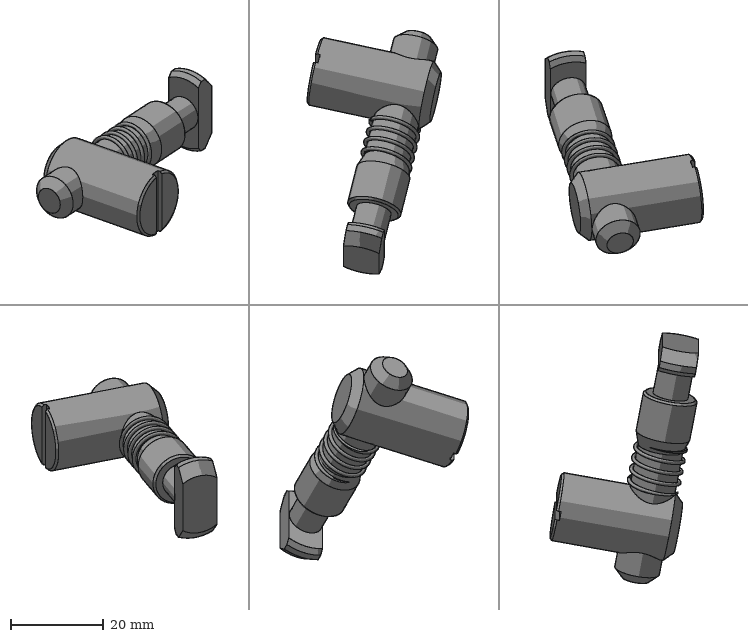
import cadquery as cq


barrel_diameter = 15.0
barrel_left = -7.0
barrel_right = 20.0
barrel_left_chamfer = 2.0
barrel_right_chamfer = 0.5
slot_width = 2.0
slot_depth = 1.0

pin_diameter = 9.9
pin_tip = -13.0
pin_tip_chamfer = 2.0
collar_diameter = 11.9
collar_cone_start = 17.0
collar_start = 20.0
collar_end = 29.0
collar_chamfer = 0.5
neck_diameter = 7.7
head_start = 36.0
head_end = pin_tip + 54.0
head_diameter = 18.95
head_width = 8.0
head_inner_chamfer = 1.0
head_outer_chamfer = 2.5

spring_start = 8.0
spring_end = 18.0
spring_coils = 4
spring_pitch = (spring_end - spring_start) / spring_coils
wire_diameter = 0.8
spring_clearance = 0.05
spring_radius = pin_diameter / 2 + spring_clearance + wire_diameter / 2
helix_shift = 0.2


def revolve_about_y(half_profile):
    return cq.Workplane("XY").polyline(half_profile).close().revolve(360, (0, 0), (0, 1))


def make_barrel():
    length = barrel_right - barrel_left
    barrel = cq.Workplane("YZ", origin=(barrel_left, 0, 0)).circle(barrel_diameter / 2).extrude(length)
    barrel = barrel.faces("<X").chamfer(barrel_left_chamfer)
    barrel = barrel.faces(">X").chamfer(barrel_right_chamfer)
    slot = cq.Workplane("XY").box(2 * slot_depth, slot_width, 2 * barrel_diameter)
    return barrel.cut(slot.translate((barrel_right, 0, 0)))


def make_pin():
    pin_radius = pin_diameter / 2
    collar_radius = collar_diameter / 2
    neck_radius = neck_diameter / 2
    return revolve_about_y([
        (0, pin_tip),
        (pin_radius - pin_tip_chamfer, pin_tip),
        (pin_radius, pin_tip + pin_tip_chamfer),
        (pin_radius, collar_cone_start),
        (collar_radius, collar_start),
        (collar_radius, collar_end - collar_chamfer),
        (collar_radius - collar_chamfer, collar_end),
        (neck_radius, collar_end),
        (neck_radius, head_start),
        (0, head_start),
    ])


def make_head():
    radius = head_diameter / 2
    disc = revolve_about_y([
        (0, head_start),
        (radius - head_inner_chamfer, head_start),
        (radius, head_start + head_inner_chamfer),
        (radius, head_end - head_outer_chamfer),
        (radius - head_outer_chamfer, head_end),
        (0, head_end),
    ])
    flats = cq.Workplane("XY").box(head_width, 2 * head_diameter, 2 * head_diameter)
    return disc.intersect(flats.translate((0, head_start, 0)))


def make_connector():
    return make_barrel().union(make_pin()).union(make_head())


def make_spring():
    wound_length = spring_pitch * (spring_coils + 2)
    helix = cq.Wire.makeHelix(spring_pitch, wound_length, spring_radius, lefthand=True)
    wire_section = cq.Workplane("XZ", origin=(spring_radius, 0, 0)).circle(wire_diameter / 2)
    coil = wire_section.sweep(cq.Workplane(obj=helix), isFrenet=True)
    coil = coil.rotate((0, 0, 0), (1, 0, 0), -90)
    coil = coil.rotate((0, 0, 0), (0, 1, 0), 90)
    coil = coil.translate((0, spring_start + helix_shift - spring_pitch, 0))
    ground_length = cq.Workplane("XZ", origin=(0, spring_start, 0)).circle(collar_diameter)
    ground_length = ground_length.extrude(spring_start - spring_end)
    return coil.intersect(ground_length).cut(make_pin())


connector = make_connector()
spring = make_spring()

result = cq.Compound.makeCompound([*connector.solids().vals(), *spring.solids().vals()])